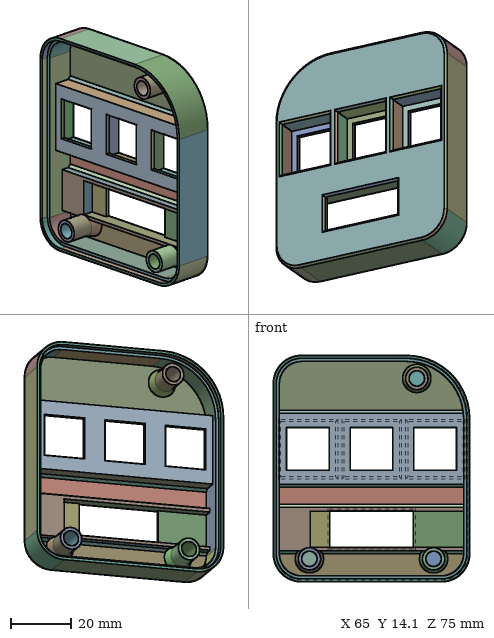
import cadquery as cq

WIDTH = 65.0
DEPTH = 14.1
HEIGHT = 75.0
CORNER_RADIUS = 9.4
LARGE_CORNER_RADIUS = 21.0
BACK_CHAMFER = 0.75

STEP = 1.0
WALL = 2.0
FLOOR = WALL
RIM_DEPTH = 2.4

FRONT_Y = -DEPTH / 2
BACK_Y = DEPTH / 2
FLOOR_Y = BACK_Y - FLOOR
INNER_WIDTH = WIDTH - 2 * WALL

SWITCH_BLOCK_HEIGHT = 23.55
SWITCH_BLOCK_Z = 6.5
SWITCH_BLOCK_RISE = 6.75
SWITCH_OPENING = 14.0
SWITCH_PITCH = 21.1
SWITCH_COUNT = 3
SWITCH_PLATE = 1.5
KEYCAP_POCKET = 18.2

FRAME_TOP = -12.8
FRAME_BOTTOM = -27.2
FRAME_RISE = 3.8
CHANNEL_TOP = -14.1
CHANNEL_BOTTOM = -26.1
CHANNEL_LEFT = -20.3
DISPLAY_WIDTH = 27.5

BOSS_RADIUS = 3.71
BOSS_HOLE_RADIUS = 2.55
BOSS_RECESS = 0.2
FOOT_HEIGHT = FRAME_RISE
FOOT_FLARE = STEP
TOP_BOSS_X = 15.0
BOTTOM_BOSS_X = 20.55
BOSS_Z = 29.85
BOSS_CENTRES = [
    (TOP_BOSS_X, BOSS_Z),
    (-BOTTOM_BOSS_X, -BOSS_Z),
    (BOTTOM_BOSS_X, -BOSS_Z),
]


def box(x_range, y_range, z_range):
    """Box between the given limits on each axis."""
    size = [high - low for low, high in (x_range, y_range, z_range)]
    corner = (x_range[0], y_range[0], z_range[0])
    return cq.Workplane("XY").box(*size, centered=False).translate(corner)


def rounded_slab(inset, y_start, y_end):
    """Shell outline moved inward by inset; the corner at +X +Z has the large radius."""
    width = WIDTH - 2 * inset
    height = HEIGHT - 2 * inset
    slab = cq.Workplane("XY").box(width, y_end - y_start, height)
    slab = slab.translate((0, (y_start + y_end) / 2, 0))
    slab = slab.edges("|Y and (<X or <Z)").fillet(CORNER_RADIUS - inset)
    return slab.edges("|Y and >X and >Z").fillet(LARGE_CORNER_RADIUS - inset)


def make_shell():
    """Open tray with a stepped rim."""
    outer = rounded_slab(0, FRONT_Y, BACK_Y)
    cavity = rounded_slab(WALL, FRONT_Y, FLOOR_Y)
    rim = rounded_slab(STEP, FRONT_Y, FRONT_Y + RIM_DEPTH)
    return outer.cut(cavity).cut(rim)


def flared_bar(z_bottom, z_top, rise):
    """Bar across the cavity floor whose long edges flare out at 45 degrees at the foot."""
    profile = [
        (FLOOR_Y, z_bottom - STEP),
        (FLOOR_Y - STEP, z_bottom),
        (FLOOR_Y - rise, z_bottom),
        (FLOOR_Y - rise, z_top),
        (FLOOR_Y - STEP, z_top),
        (FLOOR_Y, z_top + STEP),
    ]
    return cq.Workplane("YZ").polyline(profile).close().extrude(INNER_WIDTH / 2, both=True)


def cut_switch_openings(body):
    """Square openings through a thin plate, widening to keycap pockets at the back."""
    plate_back_y = FLOOR_Y - SWITCH_BLOCK_RISE + SWITCH_PLATE
    for index in range(SWITCH_COUNT):
        x = (index - (SWITCH_COUNT - 1) / 2) * SWITCH_PITCH
        for side, y_start in ((SWITCH_OPENING, FRONT_Y), (KEYCAP_POCKET, plate_back_y)):
            x_range = (x - side / 2, x + side / 2)
            z_range = (SWITCH_BLOCK_Z - side / 2, SWITCH_BLOCK_Z + side / 2)
            body = body.cut(box(x_range, (y_start, BACK_Y), z_range))
    return body


def cut_display(body):
    """Channel down to the shell floor for the display board, and the window through that floor."""
    z_range = (CHANNEL_BOTTOM, CHANNEL_TOP)
    channel = box((CHANNEL_LEFT, INNER_WIDTH / 2), (FRONT_Y, FLOOR_Y), z_range)
    window = box((-DISPLAY_WIDTH / 2, DISPLAY_WIDTH / 2), (FRONT_Y, BACK_Y), z_range)
    return body.cut(channel).cut(window)


def boss_profile():
    """Half section of a boss: radius along X, Y toward the floor."""
    top_y = FRONT_Y + BOSS_RECESS
    return [
        (BOSS_HOLE_RADIUS, top_y),
        (BOSS_RADIUS, top_y),
        (BOSS_RADIUS, FLOOR_Y - FOOT_HEIGHT),
        (BOSS_RADIUS + FOOT_FLARE, FLOOR_Y),
        (BOSS_HOLE_RADIUS, FLOOR_Y),
    ]


def add_bosses(body):
    """Hollow bosses standing on the floor, each clear down to the floor."""
    boss = cq.Workplane("XY").polyline(boss_profile()).close().revolve(360, (0, 0), (0, 1))
    bore = cq.Workplane("XZ", origin=(0, FLOOR_Y, 0)).circle(BOSS_HOLE_RADIUS).extrude(DEPTH)
    for x, z in BOSS_CENTRES:
        body = body.union(boss.translate((x, 0, z)))
        body = body.cut(bore.translate((x, 0, z)))
    return body


def chamfer_back(body):
    """Chamfer the outline of the back face and of every opening in it."""
    return body.faces(">Y").chamfer(BACK_CHAMFER)


switch_block_bottom = SWITCH_BLOCK_Z - SWITCH_BLOCK_HEIGHT / 2
switch_block_top = SWITCH_BLOCK_Z + SWITCH_BLOCK_HEIGHT / 2

result = make_shell()
result = result.union(flared_bar(switch_block_bottom, switch_block_top, SWITCH_BLOCK_RISE))
result = result.union(flared_bar(FRAME_BOTTOM, FRAME_TOP, FRAME_RISE))
result = add_bosses(result)
result = cut_switch_openings(result)
result = cut_display(result)
result = chamfer_back(result)